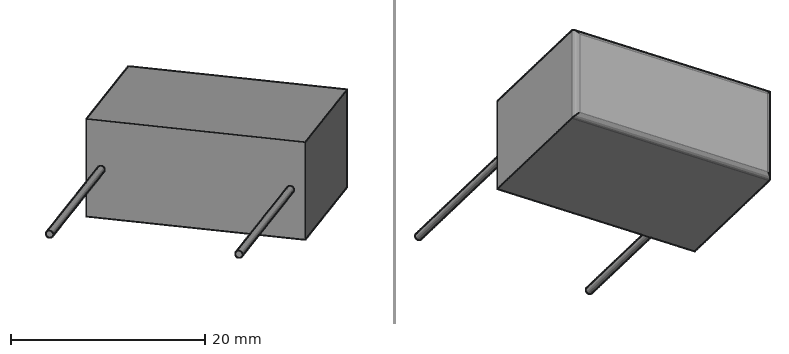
import cadquery as cq

CASE_WIDTH = 23.5
CASE_HEIGHT = 10.8
CASE_DEPTH = 16.0
BACK_EDGE_RADIUS = 0.6

OVERALL_LENGTH = 35.0
LEAD_LENGTH = OVERALL_LENGTH - CASE_DEPTH
LEAD_DIAMETER = 0.8
LEAD_SPACING = 20.3


def make_case():
    """Block centred on X and Z, front face at Y = 0, with the four back edges rounded."""
    block = cq.Workplane("XY").box(CASE_WIDTH, CASE_DEPTH, CASE_HEIGHT, centered=(True, False, True))
    return block.faces(">Y").edges().fillet(BACK_EDGE_RADIUS)


def make_lead(x):
    """Round wire that butts against the front face of the case at the given X."""
    return cq.Workplane("XZ").center(x, 0).circle(LEAD_DIAMETER / 2).extrude(LEAD_LENGTH)


case = make_case()
leads = [make_lead(side * LEAD_SPACING / 2) for side in (-1, 1)]

result = cq.Compound.makeCompound([case.val(), *[lead.val() for lead in leads]])